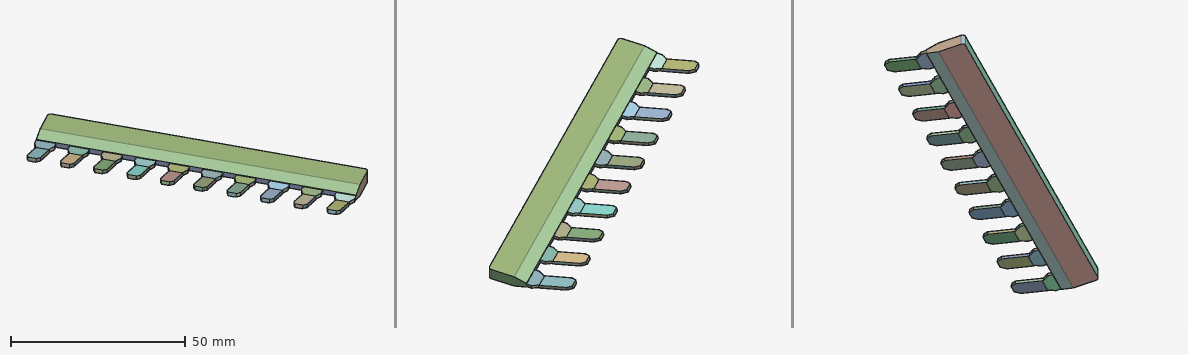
import cadquery as cq
import math

length = 95.95
bar_height = 4.0
bar_depth = 11.9
flat_depth = 8.1
nose_height = 1.6
back_corner_radius = 1.0

prong_count = 10
prong_thickness = 1.15
shoulder_width = 5.95
blade_width = 4.0
tip_width = 2.2
shoulder_end = 13.5
neck_end = 15.2
bend_depth = 15.6
tip_start = 24.0
total_depth = 25.8

total_height = 5.95
solver_steps = 20

mid_height = bar_height / 2
prong_bottom = mid_height - prong_thickness / 2
prong_top = mid_height + prong_thickness / 2

first_center = shoulder_width / 2
pitch = (length - shoulder_width) / (prong_count - 1)


def solve_bend_angle():
    """Angle that lifts the blade's end face to the full height at the full depth."""
    run = total_depth - bend_depth
    rise = total_height - prong_bottom
    angle = 0.0
    for _ in range(solver_steps):
        angle = math.atan((rise - prong_thickness * math.cos(angle)) / run)
    return angle


def make_bar():
    """Bar tapered on both faces toward the prongs, with its two back corners rounded."""
    profile = [
        (0, 0),
        (-flat_depth, 0),
        (-bar_depth, mid_height - nose_height / 2),
        (-bar_depth, mid_height + nose_height / 2),
        (-flat_depth, bar_height),
        (0, bar_height),
    ]
    bar = cq.Workplane("YZ").polyline(profile).close().extrude(length)
    return bar.edges("|Z and >Y").fillet(back_corner_radius)


def make_prong(center_x):
    """Bent strip seen from the side, trimmed to its outline seen from above."""
    angle = solve_bend_angle()
    top_bend_depth = bend_depth - prong_thickness * math.tan(angle / 2)
    tip_top_depth = total_depth - prong_thickness * math.sin(angle)
    tip_bottom = total_height - prong_thickness * math.cos(angle)
    root_depth = flat_depth
    side = [
        (-root_depth, prong_bottom),
        (-bend_depth, prong_bottom),
        (-total_depth, tip_bottom),
        (-tip_top_depth, total_height),
        (-top_bend_depth, prong_top),
        (-root_depth, prong_top),
    ]
    strip = (
        cq.Workplane("YZ", origin=(center_x - shoulder_width / 2, 0, 0))
        .polyline(side).close().extrude(shoulder_width)
    )
    half_outline = [
        (shoulder_width / 2, -root_depth),
        (shoulder_width / 2, -shoulder_end),
        (blade_width / 2, -neck_end),
        (blade_width / 2, -tip_start),
        (tip_width / 2, -total_depth),
    ]
    outline = half_outline + [(-x, y) for x, y in reversed(half_outline)]
    trim = (
        cq.Workplane("XY", origin=(center_x, 0, 0))
        .polyline(outline).close().extrude(total_height)
    )
    return strip.intersect(trim)


result = make_bar()
for index in range(prong_count):
    result = result.union(make_prong(first_center + index * pitch))